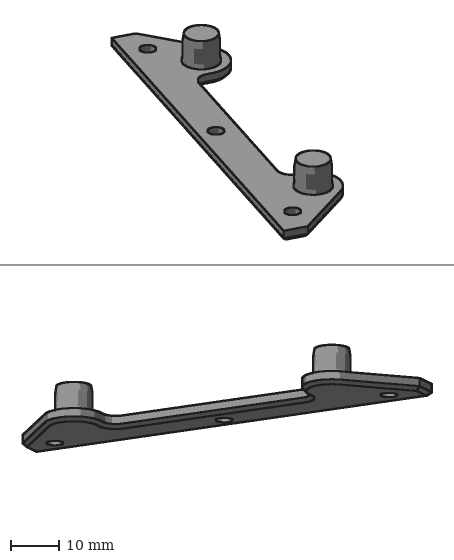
import cadquery as cq
import math

length = 93.9
width = 19.6
plate_thickness = 2.6
end_height = 5.4
band_width = 9.1
lobe_radius = 6.2
inner_fillet = 3.0
bottom_chamfer = 0.8

total_height = 9.0
post_x = length / 2 - 16.4
post_y = width - lobe_radius
post_radius = 3.9
post_base_radius = 4.1
post_tip_radius = 3.7
post_flare_height = 1.0
post_taper_height = 1.8

hole_diameter = 3.5
end_hole_x = length / 2 - 7.4
end_hole_y = 5.1
middle_hole_y = 4.1


def lobe_point(angle):
    """Point on the right-hand lobe arc at an angle from +X, in radians."""
    return (post_x + lobe_radius * math.cos(angle), post_y + lobe_radius * math.sin(angle))


def mirrored(point):
    return (-point[0], point[1])


def make_plate():
    corner = (length / 2, end_height)
    dx = corner[0] - post_x
    dy = corner[1] - post_y
    tangent_angle = math.atan2(dy, dx) + math.acos(lobe_radius / math.hypot(dx, dy))
    slope_end = lobe_point(tangent_angle)
    arc_middle = lobe_point((tangent_angle + math.pi) / 2)
    arc_end = lobe_point(math.pi)
    notch_corner = (arc_end[0], band_width)

    plate = (
        cq.Workplane("XY")
        .moveTo(-length / 2, 0)
        .lineTo(length / 2, 0)
        .lineTo(*corner)
        .lineTo(*slope_end)
        .threePointArc(arc_middle, arc_end)
        .lineTo(*notch_corner)
        .lineTo(*mirrored(notch_corner))
        .lineTo(*mirrored(arc_end))
        .threePointArc(mirrored(arc_middle), mirrored(slope_end))
        .lineTo(*mirrored(corner))
        .close()
        .extrude(plate_thickness)
    )
    for x in (-notch_corner[0], notch_corner[0]):
        notch_edge = cq.selectors.NearestToPointSelector((x, band_width, plate_thickness / 2))
        plate = plate.edges("|Z").edges(notch_edge).fillet(inner_fillet)
    return plate.faces("<Z").chamfer(bottom_chamfer)


def make_post(x):
    post_height = total_height - plate_thickness
    return (
        cq.Workplane("XZ")
        .lineTo(post_base_radius, 0)
        .lineTo(post_radius, post_flare_height)
        .lineTo(post_radius, post_height - post_taper_height)
        .lineTo(post_tip_radius, post_height)
        .lineTo(0, post_height)
        .close()
        .revolve(360, (0, 0, 0), (0, 1, 0))
        .translate((x, post_y, plate_thickness))
    )


hole_centers = [(-end_hole_x, end_hole_y), (0, middle_hole_y), (end_hole_x, end_hole_y)]
holes = cq.Workplane("XY").pushPoints(hole_centers).circle(hole_diameter / 2).extrude(plate_thickness)

result = make_plate().cut(holes)
for side in (-1, 1):
    result = result.union(make_post(side * post_x))
result = result.translate((0, -width / 2, 0))